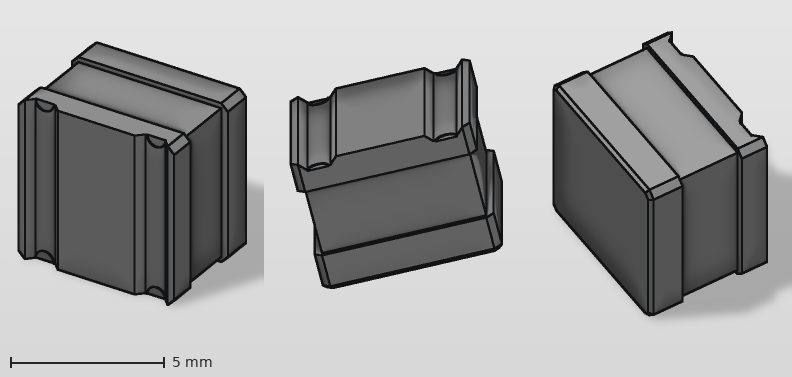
import cadquery as cq

width = 6.0
height = 6.0
depth = 4.5

front_flange = 0.975
back_flange = 1.245
corner_chamfer = 0.25
back_edge_chamfer = 0.13

core_inset_x = 0.25
core_inset_z = 0.19

groove_depth = 0.25
groove_flare = 0.25
groove_mouth = 1.27
groove_outer_edge = width / 2 - corner_chamfer

recess_radius = 0.35
recess_depth = 0.025
recess_center_x = groove_outer_edge - groove_flare - recess_radius

front_y = -depth / 2
back_y = depth / 2
groove_floor_y = front_y + groove_depth


def flange(start_y, thickness):
    """Square plate with bevelled corners, extending from start_y toward +Y."""
    plate = cq.Workplane("XY").box(width, thickness, height)
    return plate.edges("|Y").chamfer(corner_chamfer).translate((0, start_y + thickness / 2, 0))


def spool():
    """Core block joining a front and a back flange."""
    core_depth = depth - front_flange - back_flange
    core_center_y = (front_flange - back_flange) / 2
    core = cq.Workplane("XY").box(width - 2 * core_inset_x, core_depth, height - 2 * core_inset_z)
    core = core.translate((0, core_center_y, 0))
    back = flange(back_y - back_flange, back_flange).faces(">Y").edges().chamfer(back_edge_chamfer)
    return flange(front_y, front_flange).union(core).union(back)


def groove(side):
    """Trapezoidal groove cutter on the given side (-1 or 1) of the front face."""
    outer = groove_outer_edge
    inner = groove_outer_edge - groove_mouth
    profile = [
        (side * outer, front_y),
        (side * (outer - groove_flare), groove_floor_y),
        (side * (inner + groove_flare), groove_floor_y),
        (side * inner, front_y),
    ]
    return cq.Workplane("XY").polyline(profile).close().extrude(height / 2, both=True)


def recess(side, end):
    """Disc cutter centred on the top or bottom edge of a groove floor."""
    disc = cq.Workplane("XZ").circle(recess_radius).extrude(-(groove_depth + recess_depth))
    return disc.translate((side * recess_center_x, front_y, end * height / 2))


result = spool()
for side in (-1, 1):
    result = result.cut(groove(side))
    for end in (-1, 1):
        result = result.cut(recess(side, end))